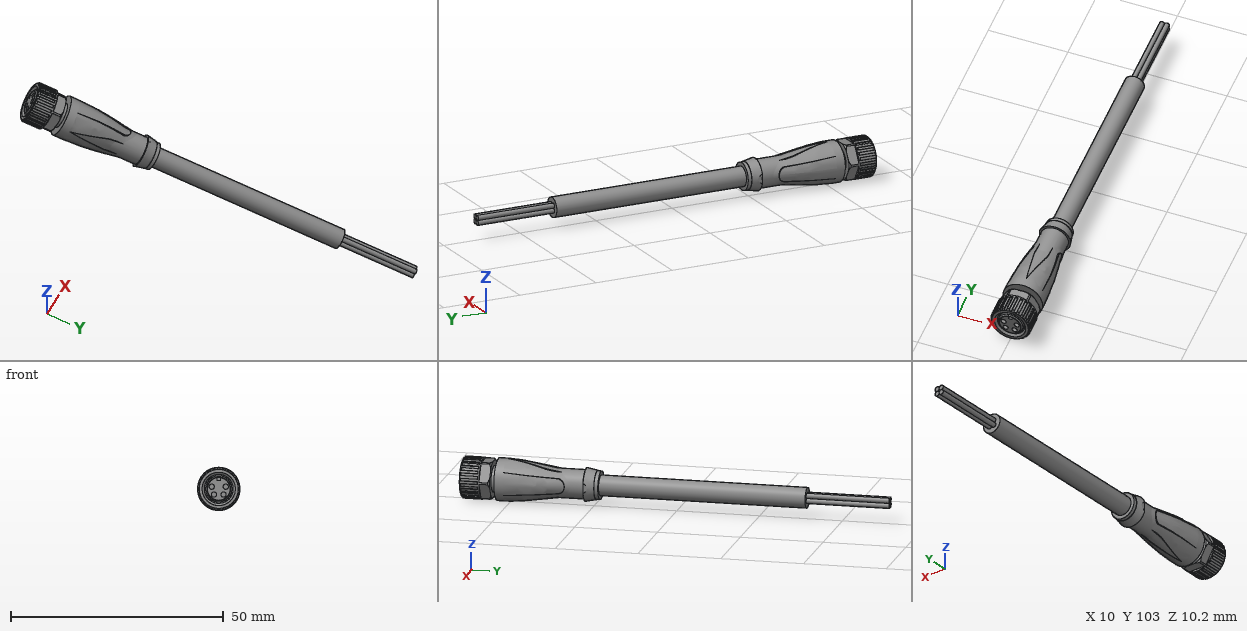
import cadquery as cq
import math

TOTAL_LENGTH = 103.0

KNURL_END = 4.8
NUT_END = 7.3
GRIP_FRONT = 8.4
GRIP_BULGE = 10.6
FLANGE_FRONT = 29.7
FLANGE_REAR = 32.2
GRIP_REAR = 33.2
JACKET_END = 83.0

JACKET_RADIUS = 2.5
WIRE_RADIUS = 0.6

BARREL_RADIUS = 3.5
FLANGE_RADIUS = 4.0
COLLAR_RADIUS = 3.4
FLANGE_FLAT = 3.8
PANEL_DEPTH = 0.3

GRIP_WIDTH = 10.0
GRIP_HEIGHT = 10.2

GRIP_SECTIONS = [
    (GRIP_BULGE, GRIP_WIDTH / 2, GRIP_HEIGHT / 2),
    (13.4, 4.9, 4.9),
    (17.9, 4.7, 4.3),
    (21.9, 4.2, 3.7),
    (26.6, 3.5, 3.1),
]

NUT_RADIUS = GRIP_WIDTH / 2
HEX_ACROSS_FLATS = 8.9
THREAD_RADIUS = 3.4
NUT_CHAMFER = 0.4
THREAD_CHAMFER = 0.5
RIDGE_COUNT = 24
GROOVE_DEPTH = 0.3
GROOVE_WIDTH = math.pi * NUT_RADIUS / RIDGE_COUNT

SLEEVE_RADIUS = 3.1
SLEEVE_CHAMFER = 0.3
CARRIER_RADIUS = 2.7
CONTACT_HOLE_RADIUS = 0.6
CONTACT_HOLE_DEPTH = 3.1
CONTACT_PLACES = [(-1.6, 0.5), (1.6, 0.5), (-1.1, -1.3), (1.1, -1.3)]
KEY_WIDTH = 0.9
KEY_BOTTOM = 2.0
KEY_DEPTH = 3.1


def section_plane(y):
    """Plane across the axis at y: local x is -X, local y is Z, extrusion runs toward +Y."""
    return cq.Workplane(cq.Plane(origin=(0, y, 0), xDir=(-1, 0, 0), normal=(0, 1, 0)))


def cylinder(radius, start, end, x=0.0, z=0.0):
    """Round bar parallel to Y."""
    return section_plane(start).center(-x, z).circle(radius).extrude(end - start)


def oval_body(rear_inset):
    """Smooth oval body through the grip sections, shrunk by an inset growing from zero at the front."""
    taper_length = GRIP_SECTIONS[-1][0] - GRIP_BULGE
    outlines = []
    for y, half_width, half_height in GRIP_SECTIONS:
        inset = rear_inset * (y - GRIP_BULGE) / taper_length
        ellipse = section_plane(y).ellipse(half_width - inset, half_height - inset)
        outlines.append(ellipse.val())
    return cq.Workplane(cq.Solid.makeLoft(outlines))


def arrow_panels():
    """Tapered prism through the grip whose ends mark the top and bottom panels."""
    tip = 10.8
    tail = 25.1
    shoulder = 20.6
    half_width = 1.6
    return (
        cq.Workplane("XY")
        .moveTo(0, tip)
        .lineTo(half_width, shoulder)
        .lineTo(half_width, tail)
        .lineTo(-half_width, tail)
        .lineTo(-half_width, shoulder)
        .close()
        .extrude(TOTAL_LENGTH, both=True)
    )


def side_panels():
    """Round-nosed prism through the grip whose ends mark the two side panels."""
    front = GRIP_BULGE
    front_half = 2.8
    shoulder = 23.3
    shoulder_half = 1.9
    nose = 25.1
    return (
        cq.Workplane("YZ")
        .moveTo(front, -front_half)
        .lineTo(shoulder, -shoulder_half)
        .threePointArc((nose, 0), (shoulder, shoulder_half))
        .lineTo(front, front_half)
        .close()
        .extrude(TOTAL_LENGTH, both=True)
    )


def make_strain_relief():
    """Barrel, conical flange with two side flats and end collar."""
    profile = [
        (0, GRIP_BULGE),
        (BARREL_RADIUS, GRIP_BULGE),
        (BARREL_RADIUS, FLANGE_FRONT),
        (FLANGE_RADIUS, FLANGE_FRONT),
        (BARREL_RADIUS, FLANGE_REAR),
        (COLLAR_RADIUS, FLANGE_REAR),
        (COLLAR_RADIUS, GRIP_REAR),
        (0, GRIP_REAR),
    ]
    body = cq.Workplane("XY").polyline(profile).close().revolve(360, (0, 0, 0), (0, 1, 0))
    flats = cq.Workplane("XY").box(2 * FLANGE_FLAT, 2 * TOTAL_LENGTH, TOTAL_LENGTH)
    return body.intersect(flats)


def make_grip():
    """Overmoulded grip: oval body with sunk panels, running into the strain relief."""
    panelled = oval_body(0).cut(arrow_panels()).cut(side_panels())
    band = (
        section_plane(GRIP_FRONT)
        .ellipse(GRIP_WIDTH / 2, GRIP_HEIGHT / 2)
        .extrude(GRIP_BULGE - GRIP_FRONT)
    )
    return panelled.union(oval_body(PANEL_DEPTH)).union(band).union(make_strain_relief())


def make_nut():
    """Coupling nut: knurled front, hexagonal rear, threaded bore and a collar on the sleeve."""
    body = cylinder(NUT_RADIUS, 0, NUT_END).faces("<Y or >Y").chamfer(NUT_CHAMFER)
    corner_diameter = HEX_ACROSS_FLATS / math.cos(math.pi / 6)
    hexagon = section_plane(KNURL_END).polygon(6, corner_diameter).extrude(NUT_END - KNURL_END)
    body = body.intersect(cylinder(NUT_RADIUS, 0, KNURL_END).union(hexagon))

    grooves = (
        section_plane(0)
        .polarArray(NUT_RADIUS, 0, 360, RIDGE_COUNT)
        .rect(2 * GROOVE_DEPTH, GROOVE_WIDTH)
        .extrude(KNURL_END - NUT_CHAMFER)
    )
    bore = cylinder(THREAD_RADIUS, 0, KNURL_END)
    countersink = cq.Workplane(
        cq.Solid.makeCone(
            THREAD_RADIUS + THREAD_CHAMFER, THREAD_RADIUS, THREAD_CHAMFER,
            cq.Vector(0, 0, 0), cq.Vector(0, 1, 0),
        )
    )
    return body.cut(grooves).cut(bore).cut(countersink).cut(cylinder(SLEEVE_RADIUS, 0, NUT_END))


def make_sleeve():
    """Tube that holds the contact carrier and joins the nut to the grip."""
    tube = cylinder(SLEEVE_RADIUS, 0, GRIP_FRONT).faces("<Y").chamfer(SLEEVE_CHAMFER)
    return tube.cut(cylinder(CARRIER_RADIUS, 0, GRIP_FRONT))


def make_carrier():
    """Contact carrier with four contact holes and a keyway in its front face."""
    body = cylinder(CARRIER_RADIUS, 0, GRIP_FRONT)
    for x, z in CONTACT_PLACES:
        body = body.cut(cylinder(CONTACT_HOLE_RADIUS, 0, CONTACT_HOLE_DEPTH, x, z))
    keyway = (
        section_plane(0)
        .center(0, (KEY_BOTTOM + SLEEVE_RADIUS) / 2)
        .rect(KEY_WIDTH, SLEEVE_RADIUS - KEY_BOTTOM)
        .extrude(KEY_DEPTH)
    )
    return body.cut(keyway)


def make_jacket():
    """Cable jacket from the grip to the stripped end."""
    return cylinder(JACKET_RADIUS, GRIP_REAR, JACKET_END)


def make_wire(x, z):
    """One insulated wire of the stripped end."""
    return cylinder(WIRE_RADIUS, JACKET_END, TOTAL_LENGTH, x, z)


grip = make_grip()
nut = make_nut()
sleeve = make_sleeve()
carrier = make_carrier()
jacket = make_jacket()

wires = []
for x in (-WIRE_RADIUS, WIRE_RADIUS):
    for z in (-WIRE_RADIUS, WIRE_RADIUS):
        wires.append(make_wire(x, z).val())

result = cq.Compound.makeCompound(
    [grip.val(), nut.val(), sleeve.val(), carrier.val(), jacket.val(), *wires]
)